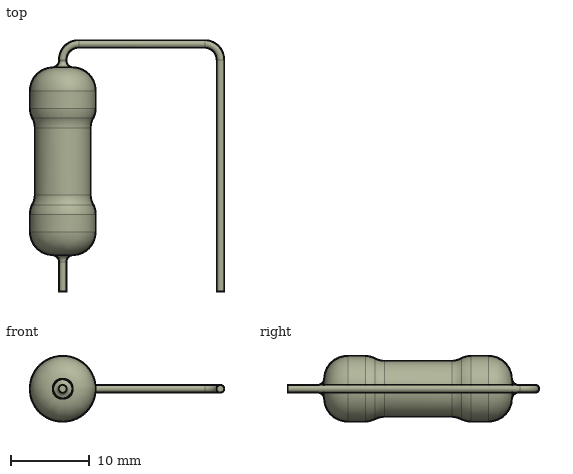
import cadquery as cq
import math

length = 31.9
wire_diameter = 1.0
cap_diameter = 8.4
tube_diameter = 7.15
lead_pitch = 20.0
bend_radius = 2.0

body_start = 4.6
body_length = 23.85
end_round = 3.0
cap_land = 2.23
neck_length = 2.42
flare_radius = 0.8

wire_radius = wire_diameter / 2
cap_radius = cap_diameter / 2
tube_radius = tube_diameter / 2
body_middle = body_start + body_length / 2


def make_half_body():
    """Revolve the half of the body next to the short lead, flare included."""
    arc_mid = math.sqrt(0.5)
    flare_start = body_start - flare_radius
    flare_edge = wire_radius + flare_radius
    face_radius = cap_radius - end_round
    round_end = body_start + end_round
    neck_start = round_end + cap_land
    neck_end = neck_start + neck_length

    neck_step = cap_radius - tube_radius
    neck_arc = (neck_step**2 + neck_length**2) / (4 * neck_step)
    quarter = neck_length / 4
    quarter_drop = neck_arc - math.sqrt(neck_arc**2 - quarter**2)
    neck_middle = ((cap_radius + tube_radius) / 2, neck_start + neck_length / 2)

    profile = (
        cq.Workplane("XY")
        .moveTo(0, flare_start)
        .lineTo(wire_radius, flare_start)
        .threePointArc(
            (flare_edge - flare_radius * arc_mid, flare_start + flare_radius * arc_mid),
            (flare_edge, body_start),
        )
        .lineTo(face_radius, body_start)
        .threePointArc(
            (face_radius + end_round * arc_mid, round_end - end_round * arc_mid),
            (cap_radius, round_end),
        )
        .lineTo(cap_radius, neck_start)
        .threePointArc((cap_radius - quarter_drop, neck_start + quarter), neck_middle)
        .threePointArc((tube_radius + quarter_drop, neck_end - quarter), (tube_radius, neck_end))
        .lineTo(tube_radius, body_middle)
        .lineTo(0, body_middle)
        .close()
    )
    return profile.revolve(360, (0, 0, 0), (0, 1, 0))


def make_wire():
    """Sweep one wire through the body, around two bends and back beside it."""
    crossbar_y = length - wire_radius
    bend_y = crossbar_y - bend_radius
    second_bend_x = lead_pitch - bend_radius
    path = (
        cq.Workplane("XY")
        .lineTo(0, bend_y)
        .tangentArcPoint((bend_radius, crossbar_y), relative=False)
        .lineTo(second_bend_x, crossbar_y)
        .tangentArcPoint((lead_pitch, bend_y), relative=False)
        .lineTo(lead_pitch, 0)
    )
    return cq.Workplane("XZ").circle(wire_radius).sweep(path)


half_body = make_half_body()
other_half = half_body.mirror("XZ").translate((0, 2 * body_middle, 0))
result = half_body.union(other_half).union(make_wire())